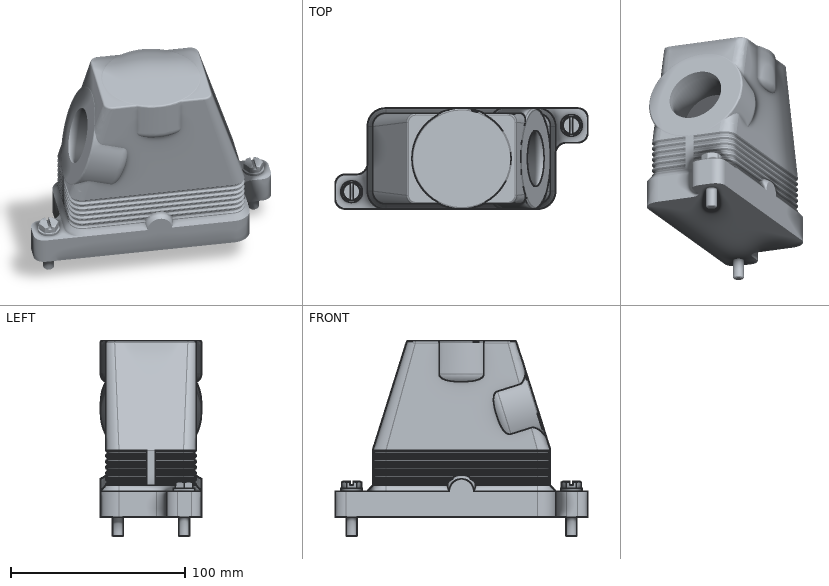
import cadquery as cq
import math


flange_length = 108.0
flange_width = 58.0
flange_thickness = 15.0
flange_corner_radius = 10.5

shoulder_inset = 3.0
shoulder_top = 18.2

wall_length = flange_length - 2 * shoulder_inset
wall_width = flange_width - 2 * shoulder_inset
wall_corner_radius = flange_corner_radius - shoulder_inset

grip_top = 38.3
groove_count = 6
groove_depth = 1.0
crest_height = 0.6
groove_floor_height = 0.95
grip_strip_width = 5.0

hood_top = 101.1
hood_top_length = 62.6
hood_top_corner_radius = 5.0
hood_top_fillet = 1.0
side_angle = math.atan((wall_length - hood_top_length) / 2 / (hood_top - grip_top))

collar_radius = 29.0
collar_length = 24.0
collar_rise = 0.1
collar_face_fillet = 1.0
collar_end_fillet = 5.0
side_collar_z = 65.6
slope_x = wall_length / 2 - (side_collar_z - grip_top) * math.tan(side_angle)
side_collar_x = slope_x + collar_rise / math.cos(side_angle)
cable_hole_radius = 16.0

boss_face_radius = 7.0
boss_root_radius = 9.3
boss_depth = shoulder_inset + groove_depth

part_length = 145.0
lug_width = 20.0
lug_radius = 6.0
lug_neck_radius = 6.0

screw_x = 63.0
screw_y = (flange_width - lug_width) / 2
shank_radius = 3.1
shank_end_z = -11.0
shank_chamfer = 0.5
washer_radius = 6.2
washer_thickness = 1.5
hex_width = 10.0
head_top = 20.5
head_crown_radius = 4.8
head_crown_angle = math.radians(30)
slot_width = 1.8
slot_depth = 2.0


def tapered_block(z_low, low_size, z_high, high_size):
    """Ruled block between two rounded rectangles given as (length, width, corner radius)."""
    outlines = []
    for z, (length, width, radius) in ((z_low, low_size), (z_high, high_size)):
        outline = cq.Sketch().rect(length, width).vertices().fillet(radius)
        outlines.append(outline.moved(cq.Location(cq.Vector(0, 0, z))))
    return cq.Workplane("XY").placeSketch(*outlines).loft(ruled=True)


def wall_size(inset):
    """Hood wall outline moved inward by the inset."""
    return (wall_length - 2 * inset, wall_width - 2 * inset, wall_corner_radius - inset)


def make_lug():
    """Lug at the -X, -Y corner, with a concave neck where it meets the flange end."""
    flange_end = -flange_length / 2
    lug_end = -part_length / 2
    lug_front = -flange_width / 2
    lug_back = lug_front + lug_width
    outline = (
        cq.Workplane("XY")
        .moveTo(0, lug_front)
        .lineTo(lug_end + lug_radius, lug_front)
        .radiusArc((lug_end, lug_front + lug_radius), lug_radius)
        .lineTo(lug_end, lug_back - lug_radius)
        .radiusArc((lug_end + lug_radius, lug_back), lug_radius)
        .lineTo(flange_end - lug_neck_radius, lug_back)
        .radiusArc((flange_end, lug_back + lug_neck_radius), -lug_neck_radius)
        .lineTo(0, lug_back + lug_neck_radius)
        .close()
    )
    return outline.extrude(flange_thickness)


def make_base():
    """Flange with its two lugs and the shoulder above it."""
    flange_size = (flange_length, flange_width, flange_corner_radius)
    flange = tapered_block(0, flange_size, flange_thickness, flange_size)
    shoulder = tapered_block(flange_thickness, flange_size, shoulder_top, wall_size(0))
    base = flange.union(shoulder)
    for turn in (0, 180):
        base = base.union(make_lug().rotate((0, 0, 0), (0, 0, 1), turn))
    return base


def make_grip():
    """Grip band: a core with stacked trapezoidal ribs and a plain strip at each end."""
    height = grip_top - shoulder_top
    pitch = height / groove_count
    flank_height = (pitch - crest_height - groove_floor_height) / 2
    crest = wall_size(0)
    groove_floor = wall_size(groove_depth)
    grip = tapered_block(shoulder_top, groove_floor, grip_top, groove_floor)
    for index in range(groove_count):
        crest_bottom = shoulder_top + index * pitch
        crest_top = crest_bottom + crest_height
        flank_bottom = crest_top + flank_height + groove_floor_height
        grip = grip.union(tapered_block(crest_bottom, crest, crest_top, crest))
        grip = grip.union(tapered_block(crest_top, crest, crest_top + flank_height, groove_floor))
        grip = grip.union(tapered_block(flank_bottom, groove_floor, crest_bottom + pitch, crest))
    strip = cq.Workplane("XY", origin=(0, 0, shoulder_top)).rect(wall_length, grip_strip_width)
    return grip.union(strip.extrude(height))


def make_hood():
    """Upper hood: the long sides are upright and the two ends slope inward."""
    top_size = (hood_top_length, wall_width, hood_top_corner_radius)
    hood = tapered_block(grip_top, wall_size(0), hood_top, top_size)
    return hood.faces(">Z").edges().fillet(hood_top_fillet)


def make_collar(plane):
    """Round cable collar that runs inward from the plane of its outer face."""
    collar = cq.Workplane(plane).circle(collar_radius).extrude(-collar_length)
    inner_face_centre = plane.toWorldCoords((0, 0, -collar_length))
    inner_face = cq.selectors.NearestToPointSelector(inner_face_centre.toTuple())
    collar = collar.faces(inner_face).edges().fillet(collar_end_fillet)
    outer_face = cq.selectors.NearestToPointSelector(plane.origin.toTuple())
    return collar.faces(outer_face).edges().fillet(collar_face_fillet)


def make_boss(side):
    """Conical boss on the -Y (side = -1) or +Y (side = 1) face, widening toward the wall."""
    face_y = side * flange_width / 2
    axis = cq.Vector(0, -side, 0)
    base_point = cq.Vector(0, face_y, flange_thickness)
    return cq.Workplane(cq.Solid.makeCone(boss_face_radius, boss_root_radius, boss_depth, base_point, axis))


def make_housing():
    """Hood, grip band, flange, bosses and collars with the cable and screw holes cut."""
    top_plane = cq.Plane(origin=(0, 0, hood_top + collar_rise), xDir=(1, 0, 0), normal=(0, 0, 1))
    side_plane = cq.Plane(
        origin=(side_collar_x, 0, side_collar_z),
        xDir=(0, 1, 0),
        normal=(math.cos(side_angle), 0, math.sin(side_angle)),
    )
    housing = make_base().union(make_grip())
    for side in (-1, 1):
        housing = housing.union(make_boss(side))
    housing = housing.union(make_hood())
    for plane in (top_plane, side_plane):
        housing = housing.union(make_collar(plane))
    cable_hole = cq.Workplane(side_plane).circle(cable_hole_radius).extrude(-collar_length)
    screw_holes = (
        cq.Workplane("XY")
        .pushPoints([(-screw_x, -screw_y), (screw_x, screw_y)])
        .circle(shank_radius)
        .extrude(flange_thickness)
    )
    return housing.cut(cable_hole).cut(screw_holes)


def make_screw(x, y):
    """Slotted hexagon-head screw whose washer face rests on the lug."""
    seat = cq.Workplane("XY", origin=(x, y, flange_thickness))
    shank = seat.circle(shank_radius).extrude(shank_end_z - flange_thickness)
    shank = shank.faces("<Z").edges().chamfer(shank_chamfer)
    washer = seat.circle(washer_radius).extrude(washer_thickness)

    head_height = head_top - flange_thickness
    corner_diameter = hex_width / math.cos(math.radians(30))
    head = seat.polygon(6, corner_diameter).extrude(head_height)
    crown_base_radius = head_crown_radius + head_height / math.tan(head_crown_angle)
    crown = cq.Solid.makeCone(
        crown_base_radius, head_crown_radius, head_height, cq.Vector(x, y, flange_thickness)
    )
    head = head.intersect(cq.Workplane(crown))
    slot = (
        cq.Workplane("XY", origin=(x, y, head_top - slot_depth))
        .rect(slot_width, corner_diameter)
        .extrude(slot_depth)
    )
    return shank.union(washer).union(head).cut(slot)


housing = make_housing()
screws = [make_screw(end * screw_x, end * screw_y) for end in (-1, 1)]

result = cq.Compound.makeCompound([housing.val(), *[screw.val() for screw in screws]])